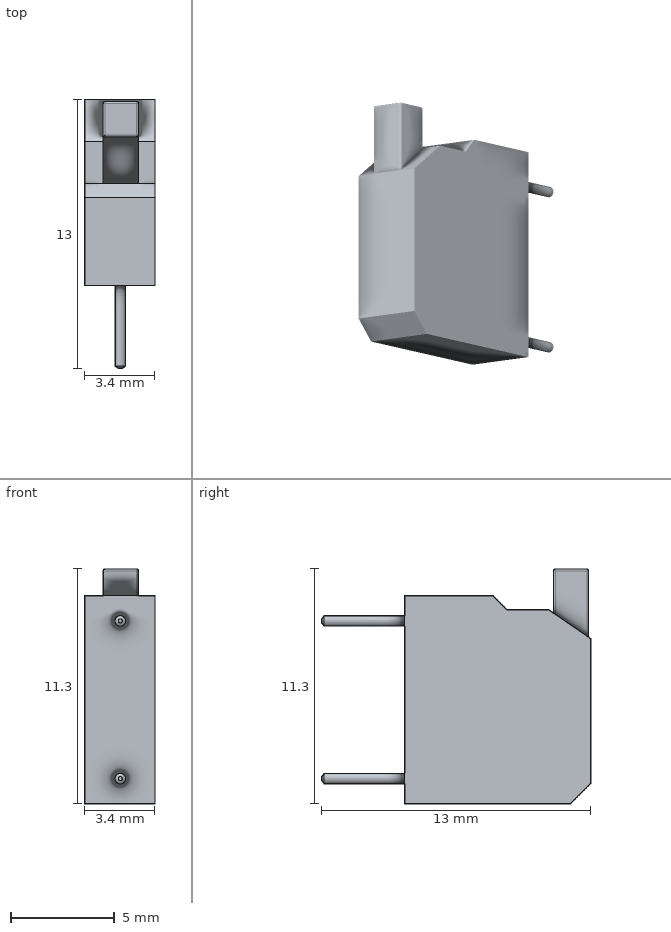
import cadquery as cq

overall_depth = 13.0
housing_width = 3.4
housing_depth = 9.0
housing_height = 10.06
base_chamfer = 0.99

ledge_drop = 0.68
ledge_front = 4.94
ledge_back = 6.95
ledge_height = housing_height - ledge_drop
back_slope_foot = 7.98

plunger_size = 1.7
plunger_offset = 0.05
plunger_back = 8.89
plunger_front = plunger_back - plunger_size
plunger_top = 11.35
plunger_rounding = 0.09

slot_depth_at_plunger = 1.01
slot_floor_fall = 0.99
slot_floor_back = ledge_height - slot_depth_at_plunger
slot_floor_front = slot_floor_back - slot_floor_fall

pin_offset = 0.03
pin_diameter = 0.51
pin_length = overall_depth - housing_depth
pin_tip_diameter = 0.2
pin_tip_length = 0.12
lower_pin_height = 1.22
pin_pitch = 7.62
pin_count = 2


def side_prism(points, width, center_x=0):
    """Extrude a Y-Z outline symmetrically about the plane X = center_x."""
    plane = cq.Workplane("YZ", origin=(center_x, 0, 0))
    return plane.polyline(points).close().extrude(width / 2, both=True)


def make_housing():
    outline = [
        (0, 0),
        (housing_depth - base_chamfer, 0),
        (housing_depth, base_chamfer),
        (housing_depth, back_slope_foot),
        (ledge_back, ledge_height),
        (ledge_front, ledge_height),
        (ledge_front - ledge_drop, housing_height),
        (0, housing_height),
    ]
    return side_prism(outline, housing_width)


def make_slot():
    outline = [
        (ledge_front, slot_floor_front),
        (plunger_front, slot_floor_back),
        (plunger_front, housing_height),
        (ledge_front, housing_height),
    ]
    return side_prism(outline, plunger_size, plunger_offset)


def make_plunger():
    height = plunger_top - slot_floor_front
    center = (plunger_offset, (plunger_front + plunger_back) / 2, slot_floor_front)
    block = cq.Workplane("XY", origin=center).rect(plunger_size, plunger_size)
    block = block.extrude(height)
    sharp_edge = cq.selectors.NearestToPointSelector(
        (plunger_offset - plunger_size / 2, plunger_front, slot_floor_front + height / 2)
    )
    rounded_edges = cq.selectors.StringSyntaxSelector("|Z or >Z") - sharp_edge
    return block.edges(rounded_edges).fillet(plunger_rounding)


def make_pin(height):
    profile = [
        (0, 0),
        (pin_diameter / 2, 0),
        (pin_diameter / 2, pin_length - pin_tip_length),
        (pin_tip_diameter / 2, pin_length),
        (0, pin_length),
    ]
    pin = cq.Workplane("XY").polyline(profile).close().revolve(360, (0, 0), (0, 1))
    return pin.rotate((0, 0, 0), (0, 0, 1), 180).translate((pin_offset, 0, height))


result = make_housing().cut(make_slot()).union(make_plunger())
for pin_index in range(pin_count):
    result = result.union(make_pin(lower_pin_height + pin_index * pin_pitch))